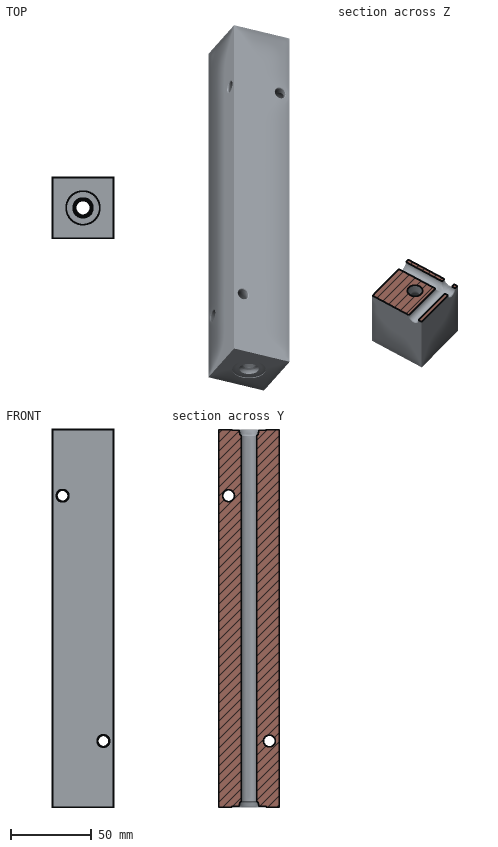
import cadquery as cq

side = 38.0
length = 235.0

bore_diameter = 9.2
port_mouth_diameter = 12.2
port_seat_diameter = 11.0
port_seat_depth = 2.5
spotface_diameter = 21.0
spotface_depth = 0.5

cross_hole_diameter = 7.0
cross_hole_mouth_diameter = 7.8
cross_hole_offset = 12.7
cross_hole_spacing = 152.5


def end_port():
    """Cutter for the port at the top end: spotface, steep taper, then 45 degree chamfer into the bore."""
    top = length / 2
    spotface_z = top - spotface_depth
    seat_z = spotface_z - port_seat_depth
    bore_z = seat_z - (port_seat_diameter - bore_diameter) / 2
    half_profile = [
        (0, top),
        (spotface_diameter / 2, top),
        (spotface_diameter / 2, spotface_z),
        (port_mouth_diameter / 2, spotface_z),
        (port_seat_diameter / 2, seat_z),
        (bore_diameter / 2, bore_z),
        (0, bore_z),
    ]
    return cq.Workplane("XZ").polyline(half_profile).close().revolve(360, (0, 0), (0, 1))


def cross_hole():
    """Cutter along Z, through the bar's width, with 45 degree chamfers at both mouths."""
    mouth_radius = cross_hole_mouth_diameter / 2
    hole_radius = cross_hole_diameter / 2
    chamfer = mouth_radius - hole_radius
    half_side = side / 2
    half_profile = [
        (0, -half_side),
        (mouth_radius, -half_side),
        (hole_radius, -half_side + chamfer),
        (hole_radius, half_side - chamfer),
        (mouth_radius, half_side),
        (0, half_side),
    ]
    return cq.Workplane("XZ").polyline(half_profile).close().revolve(360, (0, 0), (0, 1))


body = cq.Workplane("XY").box(side, side, length)

bore = cq.Workplane("XY").circle(bore_diameter / 2).extrude(length / 2, both=True)
body = body.cut(bore)
top_port = end_port()
body = body.cut(top_port).cut(top_port.mirror("XY"))

hole_along_x = cross_hole().rotate((0, 0, 0), (0, 1, 0), 90)
hole_along_y = cross_hole().rotate((0, 0, 0), (1, 0, 0), 90)
for end in (1, -1):
    hole_z = end * cross_hole_spacing / 2
    body = body.cut(hole_along_x.translate((0, end * cross_hole_offset, hole_z)))
    body = body.cut(hole_along_y.translate((-end * cross_hole_offset, 0, hole_z)))

result = body